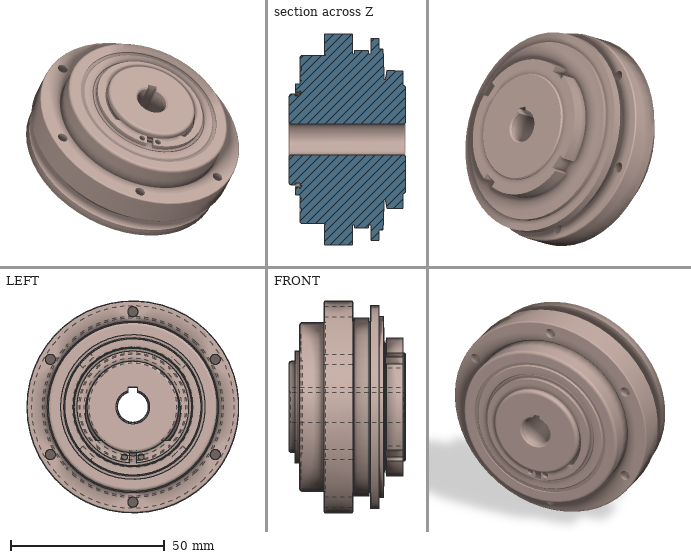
import cadquery as cq


bearing_face_x = 3.5
flange_front_x = 11.5
flange_back_x = 20.8
plate_front_x = 21.2
plate_back_x = 26.05
adjuster_front_x = 26.6
adjuster_back_x = 29.35
washer_back_x = 30.8
spring_back_x = 31.1
nut_front_x = 31.35
nut_shoulder_x = 31.85
nut_back_x = 37.2
hub_length = 38.0

hub_nose_dia = 29.8
hub_nose_fillet = 1.0
hub_thread_dia = 35.2
hub_thread_chamfer = 0.4
bore_dia = 10.0
bore_chamfer = 0.5
key_width = 3.0
key_top_z = 6.4

ring_thickness = 1.5
ring_outer_dia = 36.4
ring_groove_dia = 28.6
ring_opening_radius = 15.5
ring_opening_offset = ring_opening_radius - ring_groove_dia / 2
ring_lug_z = -10.9
ring_gap = 2.3
ring_hole_dia = 2.0
ring_hole_y = 2.7
ring_hole_z = -16.3
ring_front_x = bearing_face_x - ring_thickness

bearing_dia = 55.0
bearing_bore_dia = 30.0
bearing_fillet = 1.0
bearing_bore_chamfer = 0.9
inner_race_dia = 38.2
seal_inner_dia = 38.89
seal_inner_floor_dia = 38.5
seal_outer_dia = 44.3
seal_rim_taper = 0.4
outer_race_bore_dia = 47.1
seal_groove_depth = 0.5

flange_dia = 69.0
flange_edge_fillet = 0.5
flange_bore_chamfer = 0.4
flange_hole_count = 6
flange_hole_dia = 3.3
flange_hole_circle_dia = 62.0
flange_hole_start_angle = 90.0

neck_dia = 55.8
plate_dia = 58.0
adjuster_dia = 66.0
washer_dia = 59.0
spring_front_dia = 56.0
valley_dia = 39.29

nut_dia = 45.0
nut_slot_count = 4
nut_slot_width = 5.0
nut_slot_depth = 2.0
nut_slot_start_angle = 45.0


def cylinder(x_start, x_end, diameter):
    """Solid cylinder on the X axis."""
    return cq.Workplane("YZ", origin=(x_start, 0, 0)).circle(diameter / 2).extrude(x_end - x_start)


def cone(x_start, x_end, dia_start, dia_end):
    """Solid frustum on the X axis."""
    profile = [(x_start, 0), (x_start, dia_start / 2), (x_end, dia_end / 2), (x_end, 0)]
    return cq.Workplane("XY").polyline(profile).close().revolve(360, (0, 0, 0), (1, 0, 0))


def make_hub():
    nose = cylinder(0, ring_front_x, hub_nose_dia).faces("<X").edges().fillet(hub_nose_fillet)
    groove = cylinder(ring_front_x, bearing_face_x, ring_groove_dia)
    seat = cylinder(bearing_face_x, flange_front_x, bearing_bore_dia)
    thread = cylinder(flange_front_x, hub_length, hub_thread_dia)
    thread = thread.faces(">X").edges().chamfer(hub_thread_chamfer)
    return nose.union(groove).union(seat).union(thread)


def make_retaining_ring():
    opening = (
        cq.Workplane("YZ", origin=(ring_front_x, 0, -ring_opening_offset))
        .circle(ring_opening_radius)
        .extrude(ring_thickness)
    )
    above_lugs = (
        cq.Workplane("YZ", origin=(ring_front_x, 0, ring_lug_z))
        .rect(ring_outer_dia, ring_outer_dia)
        .extrude(ring_thickness)
        .translate((0, 0, ring_outer_dia / 2))
    )
    gap = (
        cq.Workplane("YZ", origin=(ring_front_x, 0, -ring_outer_dia / 2))
        .rect(ring_gap, ring_outer_dia)
        .extrude(ring_thickness)
    )
    holes = (
        cq.Workplane("YZ", origin=(ring_front_x, 0, 0))
        .pushPoints([(-ring_hole_y, ring_hole_z), (ring_hole_y, ring_hole_z)])
        .circle(ring_hole_dia / 2)
        .extrude(ring_thickness)
    )
    ring = cylinder(ring_front_x, bearing_face_x, ring_outer_dia)
    return ring.cut(opening.intersect(above_lugs)).cut(gap).cut(holes)


def make_bearing():
    bearing = cylinder(bearing_face_x, flange_front_x, bearing_dia)
    bearing = bearing.faces("<X").edges().fillet(bearing_fillet)
    bore = cylinder(bearing_face_x, flange_front_x, bearing_bore_dia)
    bore_edge = cone(
        bearing_face_x,
        bearing_face_x + bearing_bore_chamfer,
        bearing_bore_dia + 2 * bearing_bore_chamfer,
        bearing_bore_dia,
    )
    groove_floor_x = bearing_face_x + seal_groove_depth
    inner_groove = cone(bearing_face_x, groove_floor_x, seal_inner_dia, seal_inner_floor_dia).cut(
        cylinder(bearing_face_x, groove_floor_x, inner_race_dia)
    )
    outer_groove = cylinder(bearing_face_x, groove_floor_x, outer_race_bore_dia).cut(
        cone(bearing_face_x, groove_floor_x, seal_outer_dia, seal_outer_dia + 2 * seal_rim_taper)
    )
    return bearing.cut(bore).cut(bore_edge).cut(inner_groove).cut(outer_groove)


def make_flange():
    flange = cylinder(flange_front_x, flange_back_x, flange_dia)
    flange = flange.edges("%CIRCLE").fillet(flange_edge_fillet)
    bore_edge = cone(
        flange_front_x,
        flange_front_x + flange_bore_chamfer,
        bearing_dia + 2 * flange_bore_chamfer,
        bearing_dia,
    ).cut(cylinder(flange_front_x, flange_front_x + flange_bore_chamfer, bearing_dia))
    holes = (
        cq.Workplane("YZ", origin=(flange_front_x, 0, 0))
        .polarArray(flange_hole_circle_dia / 2, flange_hole_start_angle, 360, flange_hole_count)
        .circle(flange_hole_dia / 2)
        .extrude(flange_back_x - flange_front_x)
    )
    return flange.cut(bore_edge).cut(holes)


def make_pressure_stack():
    neck = cylinder(flange_back_x, adjuster_front_x, neck_dia)
    plate = cylinder(plate_front_x, plate_back_x, plate_dia)
    adjuster = cylinder(adjuster_front_x, adjuster_back_x, adjuster_dia)
    washer = cylinder(adjuster_back_x, washer_back_x, washer_dia)
    spring = cone(washer_back_x, spring_back_x, spring_front_dia, valley_dia)
    valley = cylinder(spring_back_x, nut_front_x, valley_dia)
    return neck.union(plate).union(adjuster).union(washer).union(spring).union(valley)


def make_nut():
    nut = cone(nut_front_x, nut_shoulder_x, valley_dia, nut_dia)
    nut = nut.union(cylinder(nut_shoulder_x, nut_back_x, nut_dia))
    slot_floor = nut_dia / 2 - nut_slot_depth
    slot = cq.Workplane("XY").box(
        nut_back_x - nut_front_x, nut_slot_width, 2 * nut_slot_depth, centered=(False, True, False)
    )
    slot = slot.translate((nut_front_x, 0, slot_floor))
    for index in range(nut_slot_count):
        angle = nut_slot_start_angle + index * 360 / nut_slot_count
        nut = nut.cut(slot.rotate((0, 0, 0), (1, 0, 0), angle))
    return nut


def make_bore():
    bore = cylinder(0, hub_length, bore_dia)
    entry = cone(0, bore_chamfer, bore_dia + 2 * bore_chamfer, bore_dia)
    exit_edge = cone(hub_length - bore_chamfer, hub_length, bore_dia, bore_dia + 2 * bore_chamfer)
    keyway = cq.Workplane("XY").box(hub_length, key_width, key_top_z, centered=(False, True, False))
    return bore.union(entry).union(exit_edge).union(keyway)


result = (
    make_hub()
    .union(make_retaining_ring())
    .union(make_bearing())
    .union(make_flange())
    .union(make_pressure_stack())
    .union(make_nut())
    .cut(make_bore())
)